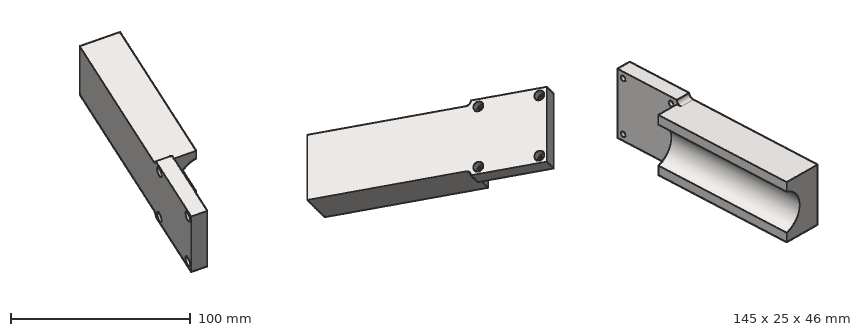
import cadquery as cq

length = 145.0
body_thickness = 25.0
body_height = 40.0

plate_size = 46.0
plate_thickness = 10.0
body_length = length - plate_size
shoulder_radius = (plate_size - body_height) / 2

channel_radius = 14.0
channel_depth = 10.5
channel_axis_y = body_thickness - channel_depth + channel_radius

hole_spacing = 37.0
hole_diameter = 3.5
counterbore_diameter = 6.0
counterbore_depth = plate_thickness / 2


def make_body():
    """Long block with the round channel running its full length."""
    block = cq.Workplane("XY").box(
        body_length, body_thickness, body_height, centered=(False, False, True)
    )
    channel = (
        cq.Workplane("YZ")
        .center(channel_axis_y, 0)
        .circle(channel_radius)
        .extrude(body_length)
    )
    return block.cut(channel)


def make_plate():
    """Square plate that continues the -Y face of the body."""
    plate = cq.Workplane("XY").box(
        plate_size, plate_thickness, plate_size, centered=(False, False, True)
    )
    return plate.translate((body_length, 0, 0))


def make_shoulder(side):
    """Concave fillet between body and plate; side is +1 (top) or -1 (bottom)."""
    root_z = side * body_height / 2
    tip_z = side * plate_size / 2
    diagonal = shoulder_radius * 0.5**0.5
    arc_middle = (body_length - shoulder_radius + diagonal, tip_z - side * diagonal)
    return (
        cq.Workplane("XZ")
        .moveTo(body_length - shoulder_radius, root_z)
        .threePointArc(arc_middle, (body_length, tip_z))
        .lineTo(body_length, root_z)
        .close()
        .extrude(-plate_thickness)
    )


def drill_holes(part):
    """Four through holes, counterbored from the -Y face."""
    return (
        part.faces("<Y")
        .workplane(origin=(length - plate_size / 2, 0, 0))
        .rect(hole_spacing, hole_spacing, forConstruction=True)
        .vertices()
        .cboreHole(hole_diameter, counterbore_diameter, counterbore_depth)
    )


solid = make_body().union(make_plate())
for side in (1, -1):
    solid = solid.union(make_shoulder(side))

result = drill_holes(solid)